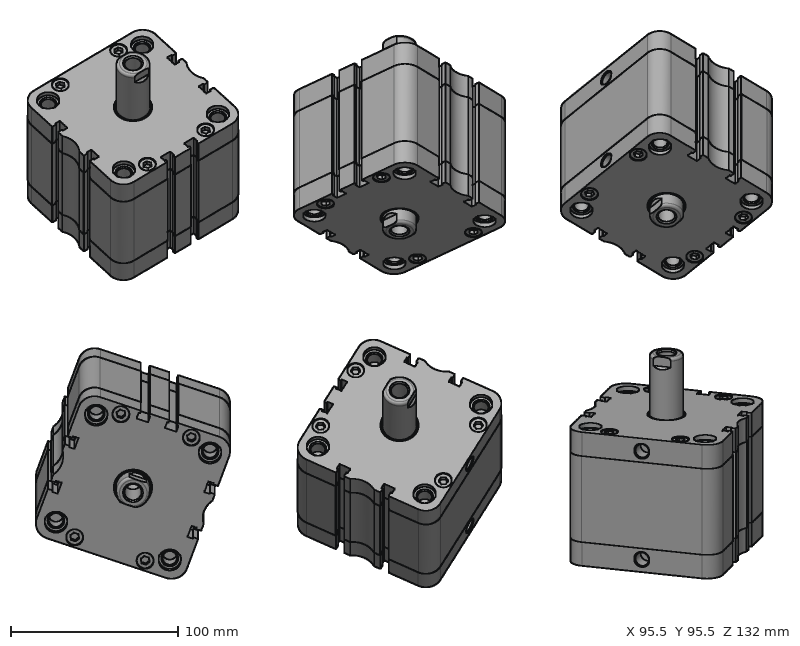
import cadquery as cq
import math

cap_side = 95.2
barrel_side = 95.5
corner_radius = 9.9
cap_height = 15.0
barrel_height = 54.3
body_height = barrel_height + 2 * cap_height

total_length = 132
rod_below = 9.0
rod_diameter = 20.0
rod_tip_fillet = 1.8
flat_length = 6.0
flat_distance = 16.9
rod_thread_diameter = 10.2
rod_thread_chamfer = 0.9
rod_thread_depth = 19.8
drill_point_angle = 118

slot_neck_width = 5.4
slot_width = 7.3
slot_mouth_chamfer = 0.3
y_slot_offset = 15.0
y_slot_depth = 6.5
y_slot_neck_depth = 3.0
x_slot_offset = 9.0
x_slot_depth = 5.5
x_slot_neck_depth = 1.8
hollow_half_width = 8.0
hollow_depth = 2.5

cap_bore_diameter = 20.6
seal_recess_diameter = 23.0
seal_floor_diameter = 21.9
seal_recess_depth = 0.3

mount_offset = 36.0
mount_bore_diameter = 13.5
mount_bore_depth = 2.9
mount_hole_diameter = 8.6
mount_hole_depth = 12.5
mount_chamfer = 0.8

screw_x = 41.5
screw_y = 22.3
screw_recess_diameter = 10.3
screw_head_diameter = 9.8
screw_recess_depth = 0.5
hex_across_flats = 4.9
hex_depth = 2.6

port_height = 8.0
port_diameter = 8.3
port_chamfer = 0.7
port_depth = 10.5


def tee_slot(depth, neck_depth, height):
    """T-slot cutter with a chamfered mouth on y = 0, running into -Y."""
    neck = cq.Workplane("XY").box(slot_neck_width, depth, height, centered=(True, False, False))
    head = cq.Workplane("XY").box(slot_width, depth - neck_depth, height, centered=(True, False, False))
    mouth = (
        cq.Workplane("XY")
        .polyline([
            (-slot_neck_width / 2 - slot_mouth_chamfer, 0),
            (slot_neck_width / 2 + slot_mouth_chamfer, 0),
            (slot_neck_width / 2, -slot_mouth_chamfer),
            (-slot_neck_width / 2, -slot_mouth_chamfer),
        ])
        .close()
        .extrude(height)
    )
    return neck.union(head).translate((0, -depth, 0)).union(mouth)


def hollow(height):
    """Shallow round trough whose mouth lies on y = 0 and which runs into -Y."""
    return (
        cq.Workplane("XY")
        .moveTo(-hollow_half_width, 0)
        .threePointArc((0, -hollow_depth), (hollow_half_width, 0))
        .close()
        .extrude(height)
    )


def profile_block(side, height):
    """Square block with rounded corners, T-slots on three sides and two hollows, standing on z = 0."""
    block = cq.Workplane("XY").rect(side, side).extrude(height).edges("|Z").fillet(corner_radius)
    half_side = side / 2
    y_slot = tee_slot(y_slot_depth, y_slot_neck_depth, height)
    y_cutters = hollow(height)
    for x in (-y_slot_offset, y_slot_offset):
        y_cutters = y_cutters.union(y_slot.translate((x, 0, 0)))
    y_cutters = y_cutters.translate((0, half_side, 0))
    block = block.cut(y_cutters).cut(y_cutters.mirror("XZ"))
    x_slot = tee_slot(x_slot_depth, x_slot_neck_depth, height).rotate((0, 0, 0), (0, 0, 1), -90)
    for y in (-x_slot_offset, x_slot_offset):
        block = block.cut(x_slot.translate((half_side, y, 0)))
    return block


def cone_cut(outer_diameter, inner_diameter, depth):
    """Conical cutter that narrows downwards from z = 0."""
    return cq.Workplane(cq.Solid.makeCone(outer_diameter / 2, inner_diameter / 2, depth, dir=cq.Vector(0, 0, -1)))


def round_cut(diameter, depth):
    """Round cutter that runs down from z = 0."""
    return cq.Workplane("XY").circle(diameter / 2).extrude(-depth)


def rod_opening():
    recess = cone_cut(seal_recess_diameter, seal_floor_diameter, seal_recess_depth)
    return round_cut(cap_bore_diameter, cap_height).union(recess)


def mounting_hole():
    countersink = cone_cut(mount_hole_diameter + 2 * mount_chamfer, mount_hole_diameter, mount_chamfer)
    return (
        round_cut(mount_hole_diameter, mount_hole_depth)
        .union(round_cut(mount_bore_diameter, mount_bore_depth))
        .union(countersink.translate((0, 0, -mount_bore_depth)))
    )


def screw_recess():
    hex_diameter = hex_across_flats / math.cos(math.radians(30))
    hexagon = cq.Workplane("XY").polygon(6, hex_diameter).extrude(-screw_recess_depth - hex_depth)
    recess = cone_cut(screw_recess_diameter, screw_head_diameter, screw_recess_depth)
    return recess.union(hexagon.rotate((0, 0, 0), (0, 0, 1), 30))


def air_port():
    countersink = cone_cut(port_diameter + 2 * port_chamfer, port_diameter, port_chamfer)
    cutter = round_cut(port_diameter, port_depth).union(countersink)
    return cutter.rotate((0, 0, 0), (0, 1, 0), -90).translate((-cap_side / 2, 0, -port_height))


def make_cap():
    """End cap with its outer face on z = 0, hanging below it."""
    cap = profile_block(cap_side, cap_height).translate((0, 0, -cap_height))
    cap = cap.cut(rod_opening()).cut(air_port())
    for x_sign in (-1, 1):
        for y_sign in (-1, 1):
            cap = cap.cut(mounting_hole().translate((x_sign * mount_offset, y_sign * mount_offset, 0)))
            cap = cap.cut(screw_recess().translate((x_sign * screw_x, y_sign * screw_y, 0)))
    return cap


def make_barrel():
    barrel = profile_block(barrel_side, barrel_height).translate((0, 0, cap_height))
    rod_passage = cq.Workplane("XY").circle(rod_diameter / 2).extrude(body_height)
    return barrel.cut(rod_passage)


def rod_end_cut():
    """Wrench flats and threaded hole of a rod end that lies on z = 0."""
    flat_inset = (rod_diameter - flat_distance) / 2
    flat = (
        cq.Workplane("XZ")
        .polyline([
            (flat_distance / 2, 0),
            (flat_distance / 2, -flat_length),
            (rod_diameter / 2, -flat_length - flat_inset),
            (rod_diameter / 2, 0),
        ])
        .close()
        .extrude(rod_diameter / 2, both=True)
    )
    countersink_diameter = rod_thread_diameter + 2 * rod_thread_chamfer
    point_depth = rod_thread_diameter / 2 / math.tan(math.radians(drill_point_angle / 2))
    hole = (
        round_cut(rod_thread_diameter, rod_thread_depth)
        .union(cone_cut(countersink_diameter, rod_thread_diameter, rod_thread_chamfer))
        .union(cone_cut(rod_thread_diameter, 0, point_depth).translate((0, 0, -rod_thread_depth)))
    )
    return flat.union(flat.mirror("YZ")).union(hole)


def make_rod():
    rod = cq.Workplane("XY").circle(rod_diameter / 2).extrude(total_length)
    rod = rod.faces("<Z or >Z").edges().fillet(rod_tip_fillet)
    end_cut = rod_end_cut()
    rod = rod.cut(end_cut.translate((0, 0, total_length))).cut(end_cut.mirror("XY"))
    return rod.translate((0, 0, -rod_below))


def make_caps():
    """Upper cap, and its mirror image as the lower cap."""
    caps = []
    for is_lower in (False, True):
        cap = make_cap().translate((0, 0, body_height))
        if is_lower:
            cap = cap.mirror("XY", (0, 0, body_height / 2))
        caps.append(cap.val())
    return caps


barrel = make_barrel()
caps = make_caps()
rod = make_rod()

result = cq.Compound.makeCompound([barrel.val(), *caps, rod.val()])